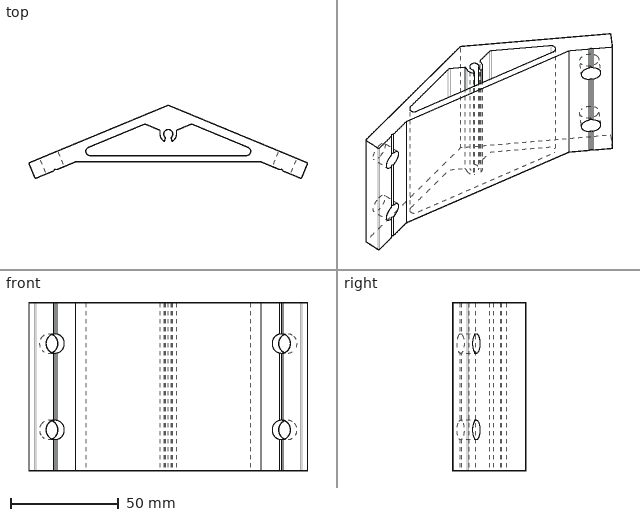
import cadquery as cq
import math

width = 129.0
depth = 34.0
height = 78.0

slope = math.radians(22.5)
corner_radius = 0.5
web_bottom_drop = 26.3
web_thickness = 3.0

pocket_wall = 4.0
pocket_end_radius = 2.0
pocket_top_radius = 1.5
hub_point_drop = 13.3

clip_center_drop = 13.4
clip_inner_radius = 2.1
clip_outer_radius = 3.9
mouth_inner_width = 2.6
mouth_outer_width = 3.6

groove_depth = 0.48
groove_flank = math.radians(30)
hole_diameter = 9.0
hole_from_end = 10.1
hole_spacing = 40.0

rise = math.tan(slope)
cos_slope = math.cos(slope)
sin_slope = math.sin(slope)

corner_loss = corner_radius * (cos_slope + sin_slope - 1)
arm_length = (width / 2 + corner_loss) / cos_slope
arm_thickness = (depth + corner_loss - arm_length * sin_slope) / cos_slope


def arm_point(along, below):
    """Point on the +X arm: distance along its outer face, depth below that face."""
    return (along * cos_slope - below * sin_slope, -along * sin_slope - below * cos_slope)


def mirrored(points):
    """Complete a half outline, whose open ends face the Y axis, by reflecting it across the Y axis."""
    return points + [(-x, y) for x, y in reversed(points) if x > 0]


def prism(points):
    """Extrude a closed XY outline over the full height, centred on Z = 0."""
    return cq.Workplane("XY").polyline(points).close().extrude(height / 2, both=True)


def edges_at(x, y):
    """Selector for the two Z edges at (+x, y) and (-x, y)."""
    reach = 0.06
    boxes = [
        cq.selectors.BoxSelector(
            (side * x - reach, y - reach, -height), (side * x + reach, y + reach, height)
        )
        for side in (-1, 1)
    ]
    return boxes[0] + boxes[1]


def make_body():
    web_corner = ((web_bottom_drop - arm_thickness / cos_slope) / rise, -web_bottom_drop)
    inner_end = arm_point(arm_length, arm_thickness)
    outer_end = arm_point(arm_length, 0)
    body = prism(mirrored([web_corner, inner_end, outer_end, (0, 0)]))
    for corner in (inner_end, outer_end):
        body = body.edges(edges_at(*corner)).fillet(corner_radius)
    return body


def make_pocket():
    floor_drop = web_bottom_drop - web_thickness
    wall_drop = pocket_wall / cos_slope
    acute_corner = ((floor_drop - wall_drop) / rise, -floor_drop)
    top_x = (hub_point_drop - wall_drop) / (2 * rise)
    top_corner = (top_x, -wall_drop - top_x * rise)
    pocket = prism(mirrored([acute_corner, top_corner, (0, -hub_point_drop)]))
    pocket = pocket.edges(edges_at(*acute_corner)).fillet(pocket_end_radius)
    return pocket.edges(edges_at(*top_corner)).fillet(pocket_top_radius)


def make_clip():
    """Ring around the clip centre, carried up into the hub at full width."""
    ring = cq.Workplane("XY").circle(clip_outer_radius).extrude(height / 2, both=True)
    neck_height = clip_center_drop - hub_point_drop + clip_outer_radius * rise
    neck = (
        cq.Workplane("XY")
        .center(0, neck_height / 2)
        .rect(2 * clip_outer_radius, neck_height)
        .extrude(height / 2, both=True)
    )
    return ring.union(neck).translate((0, -clip_center_drop, 0))


def make_clip_opening():
    """Round bore with a mouth that flares slightly toward the web."""
    bore = cq.Workplane("XY").circle(clip_inner_radius).extrude(height / 2, both=True)
    inner_half = mouth_inner_width / 2
    outer_half = mouth_outer_width / 2
    tip_drop = math.sqrt(clip_inner_radius**2 - inner_half**2)
    mouth = prism(
        mirrored([(outer_half, -clip_outer_radius), (inner_half, -tip_drop), (inner_half, 0)])
    )
    return bore.union(mouth).translate((0, -clip_center_drop, 0))


def make_arm_cuts():
    """Groove and two bolt holes of the +X arm, on the line through the hole centres."""
    along = arm_length - hole_from_end
    half_groove = groove_depth / math.tan(groove_flank)
    cuts = prism(
        [
            arm_point(along - half_groove, arm_thickness),
            arm_point(along, arm_thickness - groove_depth),
            arm_point(along + half_groove, arm_thickness),
        ]
    )
    overshoot = 1.3
    start_x, start_y = arm_point(along, -overshoot)
    inward = cq.Vector(-sin_slope, -cos_slope, 0)
    for z in (-hole_spacing / 2, hole_spacing / 2):
        hole = cq.Solid.makeCylinder(
            hole_diameter / 2,
            arm_thickness + 2 * overshoot,
            cq.Vector(start_x, start_y, z),
            inward,
        )
        cuts = cuts.union(cq.Workplane(hole))
    return cuts


right_cuts = make_arm_cuts()
left_cuts = right_cuts.mirror("YZ")

result = (
    make_body()
    .cut(make_pocket())
    .union(make_clip())
    .cut(make_clip_opening())
    .cut(right_cuts)
    .cut(left_cuts)
)